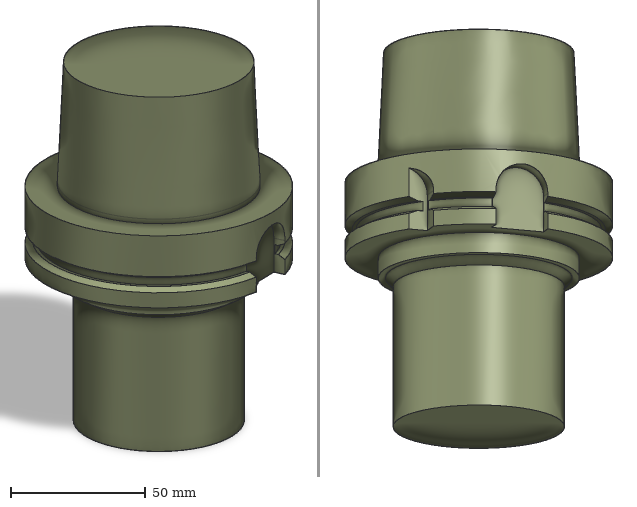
import cadquery as cq

length = 144.0
shank_top = 54.0
collar_bottom = 57.3
flange_bottom = 65.1
flange_top = 94.0
taper_base = 95.9

shank_radius = 32.0
collar_tip_radius = 34.8
collar_radius = 75.0 / 2
flange_radius = 50.0
taper_base_radius = 37.9
taper_top_radius = 35.5

groove_radius = 45.8
groove_lip_radius = 47.2
groove_low = 72.6
groove_high = 76.2
lip_height = 1.5

notch_radius = 10.2
notch_top = 89.0
drive_floor = 44.0
index_floor = 31.7
index_wall = 31.4


def turned_body():
    """Revolve the stepped shank, collar, grooved flange and taper."""
    profile = [
        (0, 0),
        (shank_radius, 0),
        (shank_radius, shank_top),
        (collar_tip_radius, collar_bottom),
        (collar_radius, collar_bottom),
        (collar_radius, flange_bottom),
        (flange_radius, flange_bottom),
        (flange_radius, groove_low - lip_height),
        (groove_lip_radius, groove_low),
        (groove_radius, groove_low),
        (groove_radius, groove_high),
        (groove_lip_radius, groove_high),
        (flange_radius, groove_high + lip_height),
        (flange_radius, flange_top),
        (taper_base_radius, flange_top),
        (taper_base_radius, taper_base),
        (taper_top_radius, length),
        (0, length),
    ]
    return cq.Workplane("XZ").polyline(profile).close().revolve(360, (0, 0), (0, 1))


def arched_cutter(start_x, center_y):
    """Round-topped cutter running outward along +X from start_x."""
    arch_center = notch_top - notch_radius
    return (
        cq.Workplane("YZ", origin=(start_x, center_y, 0))
        .moveTo(-notch_radius, flange_bottom)
        .lineTo(-notch_radius, arch_center)
        .threePointArc((0, notch_top), (notch_radius, arch_center))
        .lineTo(notch_radius, flange_bottom)
        .close()
        .extrude(flange_radius)
    )


result = turned_body()

drive_slot = arched_cutter(drive_floor, 0)
result = result.cut(drive_slot).cut(drive_slot.mirror("YZ"))

index_notch = arched_cutter(index_floor, index_wall + notch_radius).mirror("YZ")
result = result.cut(index_notch)